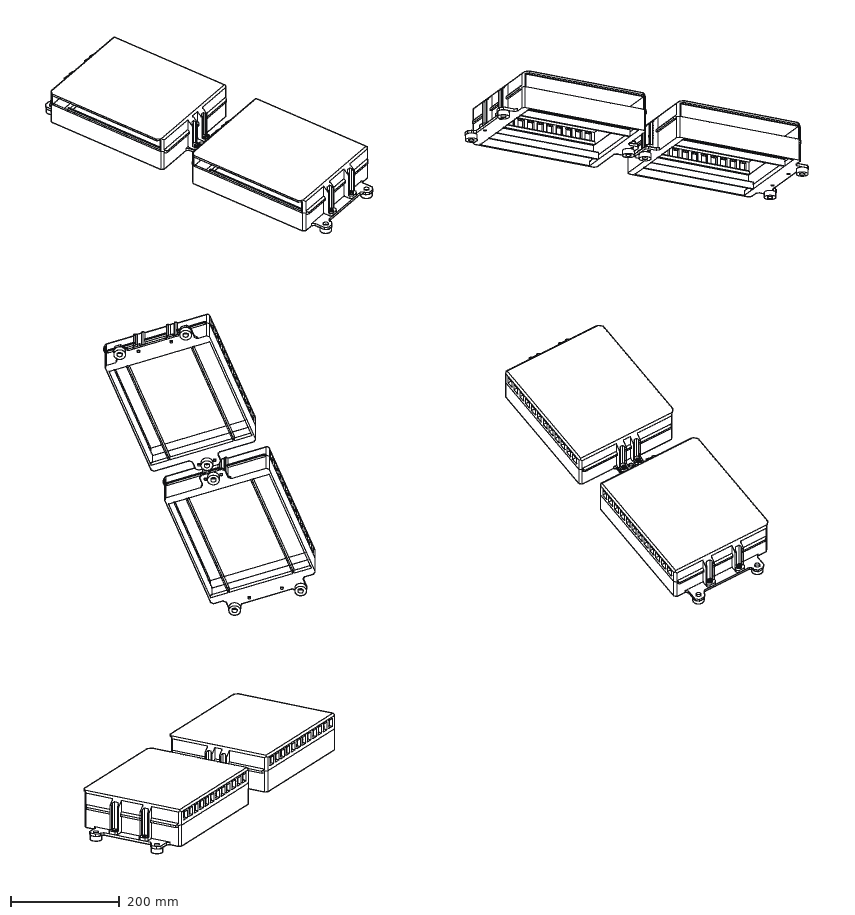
import cadquery as cq


BOX_HALF_X = 128.0
BOX_HALF_Y = 102.0
BOX_CENTER_X = -160.0
BOX_TOP = 71.5
SEAM_Z = 41.5
WALL = 6.5
CORNER_CUT = 4.5

ROOF = 5.0
EDGE_CHAMFER = 4.0
VISOR_REACH = 6.0
LIP_OUT = 4.0
LIP_HEIGHT = 7.5
LIP_OVERLAP = 4.0
WINDOW_COUNT = 12
WINDOW_PITCH = 20.0
WINDOW_WIDTH = 13.0
WINDOW_BOTTOM = 49.0
WINDOW_TOP = 64.5
SILL_DEPTH = 2.0
SILL_TOP = 47.0

BOSS_OUT = 10.0
CHANNEL_CUT = 2.5
PAD_HEIGHT = 6.0
PAD_CUT = 4.0
SCREW_RADIUS = 2.5
SCREW_HEAD_RADIUS = 4.5
SCREW_HEAD_DEPTH = 2.5

OUTER_SCREW_X = -137.5
OUTER_SCREW_Y = 32.0
OUTER_BOSS_WIDTH = 18.5
OUTER_CHANNEL_WIDTH = 13.0
OUTER_CHANNEL_X = -132.0
OUTER_PAD_X = -146.0

INNER_SCREW_X = 142.5
INNER_SCREW_Y = 15.5
INNER_BOSS_WIDTH = 15.5
INNER_CHANNEL_WIDTH = 10.0
INNER_CHANNEL_X = 133.5
INNER_PAD_X = 148.0

PLATE = 5.0
BASE_WALL_Y = 4.0
END_RAIL_HEIGHT = 9.0
END_RAIL_WIDTH = 8.0
CROSS_RAIL_WIDTH = 2.5
CROSS_RAIL_HEIGHT = 13.5
CROSS_RAIL_INSET = 38.0
FLARE = 4.5
EAR_CUT = 6.0
TAB_CUT = 5.0
TAB_HALF_Y = 25.0

FOOT_RADIUS = 11.0
FOOT_HEIGHT = 9.5
FOOT_HOLE_RADIUS = 4.8
EAR_FOOT_X = -149.0
EAR_FOOT_Y = 64.5
TAB_FOOT_X = 142.5
FOOT_PLACES = [(EAR_FOOT_X, EAR_FOOT_Y), (EAR_FOOT_X, -EAR_FOOT_Y), (TAB_FOOT_X, 0)]

OUTER_SCREWS = [(OUTER_SCREW_X, y) for y in (-OUTER_SCREW_Y, OUTER_SCREW_Y)]
INNER_SCREWS = [(INNER_SCREW_X, y) for y in (-INNER_SCREW_Y, INNER_SCREW_Y)]


def block(x0, x1, y0, y1, z0, z1):
    """Axis-aligned block between two corners."""
    return cq.Workplane("XY").box(x1 - x0, y1 - y0, z1 - z0, centered=False).translate((x0, y0, z0))


def corner_limit(front_y, z0, z1):
    """Prism whose four slanted sides lie in the planes of the cut box corners."""
    half_x = BOX_HALF_X + LIP_OUT
    back_y = BOX_HALF_Y
    reach = BOX_HALF_X + BOX_HALF_Y - CORNER_CUT
    points = [
        (half_x, reach - half_x),
        (reach - back_y, back_y),
        (back_y - reach, back_y),
        (-half_x, reach - half_x),
        (-half_x, half_x - reach),
        (front_y - reach, -front_y),
        (reach - front_y, -front_y),
        (half_x, half_x - reach),
    ]
    return cq.Workplane("XY").workplane(offset=z0).polyline(points).close().extrude(z1 - z0)


def plate_prism(points, z0, height):
    """Upright prism over a closed outline."""
    return cq.Workplane("XY").workplane(offset=z0).polyline(points).close().extrude(height)


def drill(places, radius, z0, z1):
    """Upright cylinders of one radius at the given places."""
    return cq.Workplane("XY").workplane(offset=z0).pushPoints(places).circle(radius).extrude(z1 - z0)


def ear_plate():
    """Mounting strip on the outer end, with an ear at each end of it."""
    wall_x = -BOX_HALF_X
    end_x = EAR_FOOT_X - FOOT_RADIUS
    out_y = EAR_FOOT_Y + FOOT_RADIUS
    in_y = EAR_FOOT_Y - FOOT_RADIUS
    upper = [
        (wall_x, out_y + FLARE),
        (wall_x - FLARE, out_y),
        (end_x + EAR_CUT, out_y),
        (end_x, out_y - EAR_CUT),
        (end_x, in_y + EAR_CUT),
        (end_x + EAR_CUT, in_y),
        (OUTER_PAD_X - FLARE, in_y),
        (OUTER_PAD_X, in_y - FLARE),
    ]
    lower = [(x, -y) for x, y in reversed(upper)]
    return plate_prism(upper + lower, 0, PLATE)


def tab_plate():
    """Mounting tab in the middle of the inner end."""
    wall_x = BOX_HALF_X
    end_x = TAB_FOOT_X + FOOT_RADIUS
    upper = [
        (wall_x, TAB_HALF_Y + FLARE),
        (wall_x + FLARE, TAB_HALF_Y),
        (end_x - TAB_CUT, TAB_HALF_Y),
        (end_x, TAB_HALF_Y - TAB_CUT),
    ]
    lower = [(x, -y) for x, y in reversed(upper)]
    return plate_prism(upper + lower, 0, PLATE)


def bottom_rails():
    """Low rails inside the base: one along each end wall and two across."""
    inner_x = BOX_HALF_X - WALL
    inner_y = BOX_HALF_Y - BASE_WALL_Y
    rail_x = inner_x - END_RAIL_WIDTH
    out_y = BOX_HALF_Y - CROSS_RAIL_INSET
    in_y = out_y - CROSS_RAIL_WIDTH
    rails = block(-inner_x, -rail_x, -inner_y, inner_y, 0, END_RAIL_HEIGHT)
    rails = rails.union(block(rail_x, inner_x, -inner_y, inner_y, 0, END_RAIL_HEIGHT))
    rails = rails.union(block(-rail_x, rail_x, -out_y, -in_y, 0, CROSS_RAIL_HEIGHT))
    return rails.union(block(-rail_x, rail_x, in_y, out_y, 0, CROSS_RAIL_HEIGHT))


def make_base():
    shell = block(-BOX_HALF_X, BOX_HALF_X, -BOX_HALF_Y, BOX_HALF_Y, 0, SEAM_Z)
    shell = shell.edges("|Z").chamfer(CORNER_CUT)
    inner_x = BOX_HALF_X - WALL
    inner_y = BOX_HALF_Y - BASE_WALL_Y
    shell = shell.cut(block(-inner_x, inner_x, -inner_y, inner_y, 0, SEAM_Z))
    base = shell.union(bottom_rails()).union(ear_plate()).union(tab_plate())
    base = base.cut(drill(FOOT_PLACES, FOOT_HOLE_RADIUS, 0, PLATE))
    return base.cut(drill(OUTER_SCREWS + INNER_SCREWS, SCREW_RADIUS, 0, PLATE))


def cover_shell():
    """Box with chamfered top edges, a lip over the seam on both ends and a front visor."""
    lip_bottom = SEAM_Z - LIP_OVERLAP
    chamfer_z = BOX_TOP - EDGE_CHAMFER
    profile = [
        (BOX_HALF_X, SEAM_Z),
        (BOX_HALF_X, lip_bottom),
        (BOX_HALF_X + LIP_OUT, lip_bottom),
        (BOX_HALF_X + LIP_OUT, lip_bottom + LIP_HEIGHT - LIP_OUT),
        (BOX_HALF_X, lip_bottom + LIP_HEIGHT),
        (BOX_HALF_X, chamfer_z),
        (BOX_HALF_X - EDGE_CHAMFER, BOX_TOP),
    ]
    profile = profile + [(-x, z) for x, z in reversed(profile)]
    front_y = BOX_HALF_Y + VISOR_REACH
    length = front_y + BOX_HALF_Y
    body = cq.Workplane("XZ", origin=(0, BOX_HALF_Y, 0)).polyline(profile).close().extrude(length)
    body = body.intersect(corner_limit(front_y, lip_bottom, BOX_TOP))
    body = body.cut(block(-BOX_HALF_X - LIP_OUT, BOX_HALF_X + LIP_OUT, -front_y, -BOX_HALF_Y, 0, chamfer_z))
    back_edge = (
        cq.Workplane("YZ", origin=(-BOX_HALF_X, 0, 0))
        .polyline([(BOX_HALF_Y - EDGE_CHAMFER, BOX_TOP), (BOX_HALF_Y, BOX_TOP), (BOX_HALF_Y, chamfer_z)])
        .close()
        .extrude(2 * BOX_HALF_X)
    )
    return body.cut(back_edge)


def cover_cavity():
    """Inside of the cover, open below and at the front."""
    inner_x = BOX_HALF_X - WALL
    cavity = block(-inner_x, inner_x, -BOX_HALF_Y, BOX_HALF_Y - WALL, SEAM_Z, BOX_TOP - ROOF)
    inner_y = BOX_HALF_Y - WALL
    sill = (
        cq.Workplane("YZ", origin=(-inner_x, 0, 0))
        .polyline([
            (inner_y, SEAM_Z),
            (inner_y - SILL_DEPTH, SEAM_Z),
            (inner_y - SILL_DEPTH, SILL_TOP),
            (inner_y, SILL_TOP + SILL_DEPTH),
        ])
        .close()
        .extrude(2 * inner_x)
    )
    return cavity.cut(sill)


def back_windows():
    height = WINDOW_TOP - WINDOW_BOTTOM
    return (
        cq.Workplane("XY", origin=(0, BOX_HALF_Y - WALL / 2, WINDOW_BOTTOM + height / 2))
        .rarray(WINDOW_PITCH, 6.5, WINDOW_COUNT, 1)
        .box(WINDOW_WIDTH, WALL, height)
    )


def cut_strip(near_x, far_x, center_y, width, cut, z0, z1):
    """Upright block along X whose two corners at far_x are cut off."""
    half = width / 2
    cut_x = far_x - cut if far_x > near_x else far_x + cut
    points = [
        (near_x, center_y - half),
        (cut_x, center_y - half),
        (far_x, center_y - half + cut),
        (far_x, center_y + half - cut),
        (cut_x, center_y + half),
        (near_x, center_y + half),
    ]
    return plate_prism(points, z0, z1 - z0)


def screw_boss(side, screw, width, channel_width, channel_x, pad_x):
    """Boss down one end of the box (side -1 or +1) with a driver channel and a screw pad."""
    screw_y = screw[1]
    wall_x = side * BOX_HALF_X
    out_x = side * (BOX_HALF_X + BOSS_OUT)
    pad_top = PLATE + PAD_HEIGHT
    roof_z = BOX_TOP - EDGE_CHAMFER
    boss = (
        cq.Workplane("XZ", origin=(0, screw_y + width / 2, 0))
        .polyline([(wall_x, PLATE), (out_x, PLATE), (out_x, roof_z - BOSS_OUT), (wall_x, roof_z)])
        .close()
        .extrude(width)
    )
    channel = cut_strip(pad_x, channel_x, screw_y, channel_width, CHANNEL_CUT, pad_top, BOX_TOP)
    pad = cut_strip(wall_x, pad_x, screw_y, width, PAD_CUT, PLATE, pad_top)
    screw_hole = drill([screw], SCREW_RADIUS, PLATE, pad_top)
    head_hole = drill([screw], SCREW_HEAD_RADIUS, pad_top - SCREW_HEAD_DEPTH, pad_top)
    return boss.cut(channel).union(pad).cut(screw_hole).cut(head_hole)


def make_cover():
    cover = cover_shell().cut(cover_cavity()).cut(back_windows())
    outer_sizes = (OUTER_BOSS_WIDTH, OUTER_CHANNEL_WIDTH, OUTER_CHANNEL_X, OUTER_PAD_X)
    inner_sizes = (INNER_BOSS_WIDTH, INNER_CHANNEL_WIDTH, INNER_CHANNEL_X, INNER_PAD_X)
    for screw in OUTER_SCREWS:
        cover = cover.union(screw_boss(-1, screw, *outer_sizes))
    for screw in INNER_SCREWS:
        cover = cover.union(screw_boss(1, screw, *inner_sizes))
    return cover.clean()


def make_foot(place):
    foot = drill([place], FOOT_RADIUS, -FOOT_HEIGHT, 0)
    return foot.cut(drill([place], FOOT_HOLE_RADIUS, -FOOT_HEIGHT, 0))


left_bodies = [make_base(), make_cover()]
for foot_place in FOOT_PLACES:
    left_bodies.append(make_foot(foot_place))
left_bodies = [body.translate((BOX_CENTER_X, 0, 0)) for body in left_bodies]
right_bodies = [body.mirror("YZ") for body in left_bodies]

result = cq.Compound.makeCompound([body.val() for body in left_bodies + right_bodies])